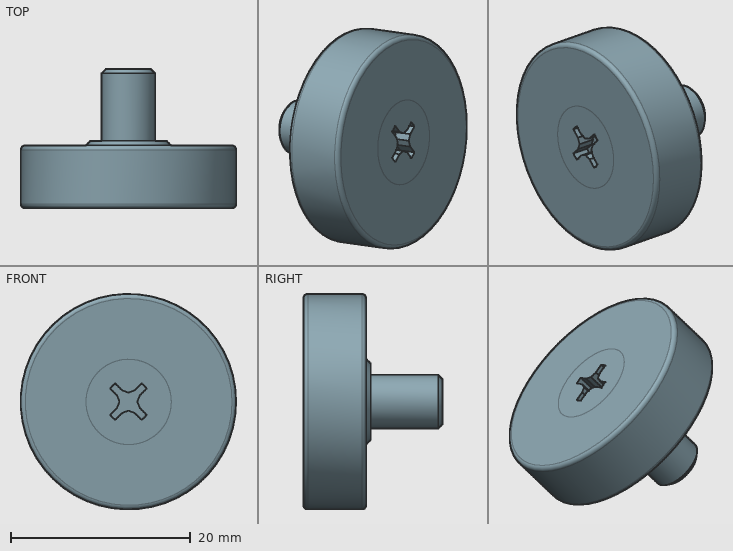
import cadquery as cq
import math

knob_diameter = 24.0
knob_thickness = 7.0
knob_edge_radius = 0.5

core_diameter = 9.5
collar_height = 0.5
collar_chamfer = collar_height

stud_diameter = 6.0
stud_length = 8.0
stud_chamfer = 0.5

recess_diameter = 5.0
recess_depth = 2.0
recess_arm_count = 4
recess_arm_half_width = 0.4
recess_flat_start = 1.4
recess_ridge_offset = 0.7
recess_angle = 45.0

core_length = knob_thickness + collar_height


def cylinder_along_y(diameter, start, length):
    """Cylinder on the Y axis, from Y = start to Y = start + length."""
    plane = cq.Workplane("XZ", origin=(0, start, 0))
    return plane.circle(diameter / 2).extrude(-length)


def make_knob():
    knob = cylinder_along_y(knob_diameter, 0, knob_thickness)
    knob = knob.edges("%CIRCLE").fillet(knob_edge_radius)
    return knob.cut(cylinder_along_y(core_diameter, 0, knob_thickness))


def make_core():
    core = cylinder_along_y(core_diameter, 0, core_length)
    return core.faces(">Y").edges().chamfer(collar_chamfer)


def make_stud():
    stud = cylinder_along_y(stud_diameter, core_length, stud_length)
    return stud.faces(">Y").edges().chamfer(stud_chamfer)


def rotate_point(point, angle):
    x, z = point
    return (
        x * math.cos(angle) - z * math.sin(angle),
        x * math.sin(angle) + z * math.cos(angle),
    )


def make_cross_recess():
    arm_reach = recess_diameter / 2
    arm_outline = [
        (recess_flat_start, -recess_arm_half_width),
        (arm_reach, -recess_arm_half_width),
        (arm_reach, recess_arm_half_width),
        (recess_flat_start, recess_arm_half_width),
        (recess_ridge_offset, recess_ridge_offset),
    ]
    cross_outline = []
    for arm in range(recess_arm_count):
        angle = math.radians(recess_angle) + arm * 2 * math.pi / recess_arm_count
        cross_outline += [rotate_point(point, angle) for point in arm_outline]
    cross = cq.Workplane("XZ").polyline(cross_outline).close().extrude(-recess_depth)
    return cross.intersect(cylinder_along_y(recess_diameter, 0, recess_depth))


body = make_knob().union(make_core(), clean=False)
body = body.union(make_stud(), clean=False)
result = body.cut(make_cross_recess(), clean=False)